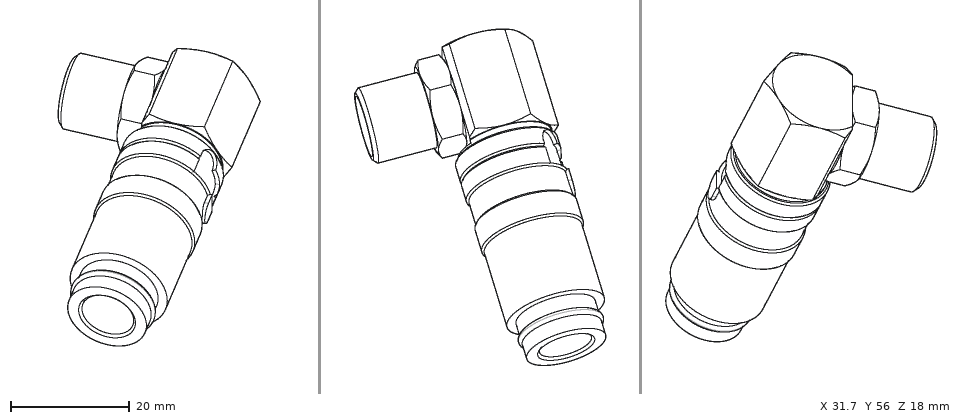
import cadquery as cq
import math


length = 56.0
connector_axis_y = 48.0
connector_reach = 21.95

barrel_radius = 8.6
shoulder_y = 6.55
neck_radius = 8.3
band_radius = 18.0 / 2
band_chamfer = band_radius - barrel_radius
front_band_start, front_band_end = 20.5, 25.4
lock_band_start = 30.0
lock_band_width = 3.7
lock_band_middle = lock_band_start + lock_band_width
lock_band_end = lock_band_middle + lock_band_width

nose_radius = 7.0
ring_y = 3.3
ring_tube_radius = 0.7
ring_outer_radius = 7.5

body_flats = 16.95
body_start_y = 38.5
body_face_x = -6.0
face_start_y = 37.95

nut_flats = 15.0
nut_start_x = -11.0
hex_chamfer_angle = 30.0
tube_radius = 6.6
tube_chamfer = 0.7

nose_bore_radius = 4.6
nose_bore_chamfer = 0.45
nose_bore_depth = 22.4
inner_bore_radius = 3.0
cone_mouth_radius = 5.25
tube_bore_radius = 2.9
cone_depth = 3.9

pocket_half_width = 2.1
pocket_floor_radius = 8.25
pocket_turn = 36.0
pocket_start_y = lock_band_start + band_chamfer
entry_center_y = 32.75
lock_center_y = entry_center_y + pocket_half_width
cutter_clearance = 1.1
cutter_radius = band_radius + cutter_clearance
tongue_center_y = 28.3
tongue_half_width = pocket_half_width
tongue_top_x = 9.1


def revolve_about_y(points):
    """Solid of revolution about the Y axis from (radius, y) points."""
    return cq.Workplane("XY").polyline(points).close().revolve(360, (0, 0, 0), (0, 1, 0))


def disc(radius, start_y, end_y):
    return revolve_about_y([(0, start_y), (radius, start_y), (radius, end_y), (0, end_y)])


def revolve_about_connector(points):
    """Solid of revolution about the connector axis from (x, radius) points."""
    outline = [(x, connector_axis_y + radius) for x, radius in points]
    profile = cq.Workplane("XY").polyline(outline).close()
    return profile.revolve(360, (0, connector_axis_y, 0), (1, connector_axis_y, 0))


def hex_chamfer_profile(flats, start, end):
    """(position, radius) outline that trims both ends of a hex prism to cones."""
    end_radius = flats / 2
    corner_radius = flats / math.sqrt(3)
    depth = (corner_radius - end_radius) * math.tan(math.radians(hex_chamfer_angle))
    return [
        (start, 0),
        (start, end_radius),
        (start + depth, corner_radius),
        (end - depth, corner_radius),
        (end, end_radius),
        (end, 0),
    ]


def chamfered_band(start_y, end_y):
    return revolve_about_y([
        (0, start_y),
        (barrel_radius, start_y),
        (band_radius, start_y + band_chamfer),
        (band_radius, end_y - band_chamfer),
        (barrel_radius, end_y),
        (0, end_y),
    ])


def make_barrel():
    barrel = disc(nose_radius, 0, shoulder_y)
    barrel = barrel.union(disc(barrel_radius, shoulder_y, lock_band_end))
    barrel = barrel.union(disc(neck_radius, lock_band_end, body_start_y))
    bands = [
        (front_band_start, front_band_end),
        (lock_band_start, lock_band_middle),
        (lock_band_middle, lock_band_end),
    ]
    for start_y, end_y in bands:
        barrel = barrel.union(chamfered_band(start_y, end_y))
    ring_section = cq.Workplane("XY").center(ring_outer_radius - ring_tube_radius, ring_y)
    ring_axis_x = ring_tube_radius - ring_outer_radius
    ring = ring_section.circle(ring_tube_radius).revolve(360, (ring_axis_x, 0, 0), (ring_axis_x, 1, 0))
    return barrel.union(ring)


def rounded_key(center_y, half_width, straight_end_y, reach):
    """Bar along +X with a half-round end past center_y and a square end at straight_end_y."""
    straight = abs(center_y - straight_end_y)
    middle_y = (center_y + straight_end_y) / 2
    bar = cq.Workplane("YZ").center(middle_y, 0).rect(straight, 2 * half_width).extrude(reach)
    return bar.union(cq.Workplane("YZ").center(center_y, 0).circle(half_width).extrude(reach))


def make_pocket():
    """L-shaped bayonet pocket: an entry lane, a turn towards +Z and a locking lane."""
    entry_lane = rounded_key(entry_center_y, pocket_half_width, pocket_start_y, cutter_radius)
    lock_lane = rounded_key(lock_center_y, pocket_half_width, pocket_start_y, cutter_radius)
    lock_lane = lock_lane.rotate((0, 0, 0), (0, 1, 0), -pocket_turn)
    turn = cq.Workplane("XY").polyline([
        (0, pocket_start_y),
        (cutter_radius, pocket_start_y),
        (cutter_radius, lock_center_y),
        (0, lock_center_y),
    ]).close().revolve(pocket_turn, (0, 0, 0), (0, -1, 0))
    return entry_lane.union(lock_lane).union(turn).cut(disc(pocket_floor_radius, 0, length))


def make_hex_body():
    prism = cq.Workplane("XZ").polygon(6, body_flats * 2 / math.sqrt(3)).extrude(-length)
    outline = hex_chamfer_profile(body_flats, body_start_y, length)
    return prism.intersect(revolve_about_y([(radius, y) for y, radius in outline]))


def cut_body_face(part):
    """Plane face on the -X side of the hex body and the neck, where the nut seats."""
    face_height = length - face_start_y
    cutter = cq.Workplane("XY").box(body_flats, face_height, 2 * body_flats, centered=(True, False, True))
    return part.cut(cutter.translate((body_face_x - body_flats / 2, face_start_y, 0)))


def make_connector():
    nut_plane = cq.Workplane("YZ", origin=(nut_start_x, connector_axis_y, 0))
    nut = nut_plane.polygon(6, nut_flats * 2 / math.sqrt(3)).extrude(body_face_x - nut_start_x)
    nut = nut.rotate((0, connector_axis_y, 0), (1, connector_axis_y, 0), 90)
    nut = nut.intersect(revolve_about_connector(hex_chamfer_profile(nut_flats, nut_start_x, body_face_x)))
    tube = revolve_about_connector([
        (-connector_reach, 0),
        (-connector_reach, tube_radius - tube_chamfer),
        (tube_chamfer - connector_reach, tube_radius),
        (nut_start_x, tube_radius),
        (nut_start_x, 0),
    ])
    return nut.union(tube)


def make_bores():
    nose_bore = revolve_about_y([
        (0, 0),
        (nose_bore_radius + nose_bore_chamfer, 0),
        (nose_bore_radius, nose_bore_chamfer),
        (nose_bore_radius, nose_bore_depth),
        (0, nose_bore_depth),
    ])
    inner_bore = disc(inner_bore_radius, nose_bore_depth, connector_axis_y + inner_bore_radius)
    cone_end_x = cone_depth - connector_reach
    connector_bore = revolve_about_connector([
        (-connector_reach, 0),
        (-connector_reach, cone_mouth_radius),
        (cone_end_x, tube_bore_radius),
        (0, tube_bore_radius),
        (0, 0),
    ])
    return nose_bore.union(inner_bore).union(connector_bore)


tongue = rounded_key(tongue_center_y, tongue_half_width, pocket_start_y, tongue_top_x)

result = make_barrel().cut(make_pocket()).union(tongue)
result = cut_body_face(result.union(make_hex_body()))
result = result.union(make_connector()).cut(make_bores())